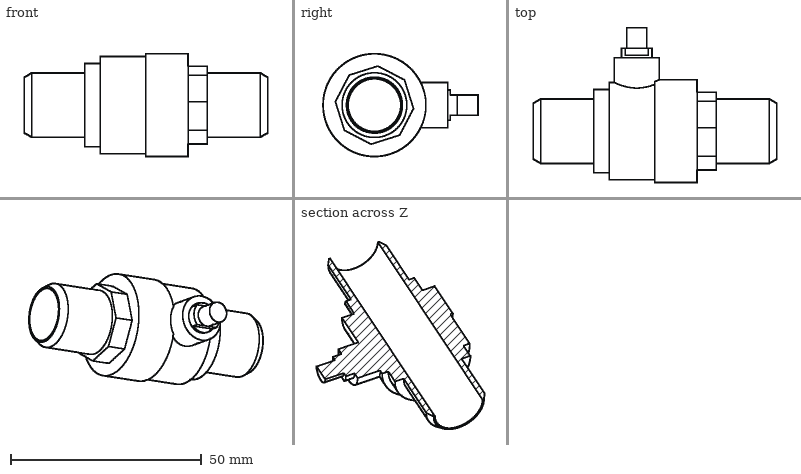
import cadquery as cq

length = 63.8
collar_start = 15.8
body_start = 19.9
cap_start = 31.75
nut_start = 42.9
nut_end = 47.95

pipe_radius = 8.5
pipe_tip_radius = 7.35
bore_radius = 6.9
collar_radius = 11.0
body_radius = 12.75
cap_diameter = 27.0
cap_radius = cap_diameter / 2
chamfer_length = 2.0

nut_sides = 8
nut_corner_diameter = 20.55
nut_turn = 5.0

stem_x = 27.1
boss_radius = 5.9
boss_top = 19.25
gland_radius = 4.0
gland_flats_start = 19.9
gland_top = 21.75
gland_flats_width = 5.35
stem_radius = gland_flats_width / 2
overall_depth = 40.6
stem_top = overall_depth - cap_radius


def make_valve_body():
    """Revolve the stepped outside of the valve and its two pipe ends."""
    profile = [
        (0, 0),
        (0, pipe_tip_radius),
        (chamfer_length, pipe_radius),
        (collar_start, pipe_radius),
        (collar_start, collar_radius),
        (body_start, collar_radius),
        (body_start, body_radius),
        (cap_start, body_radius),
        (cap_start, cap_radius),
        (nut_start, cap_radius),
        (nut_start, pipe_radius),
        (length - chamfer_length, pipe_radius),
        (length, pipe_tip_radius),
        (length, 0),
    ]
    return cq.Workplane("XY").polyline(profile).close().revolve(360, (0, 0), (1, 0))


def make_nut():
    """Octagonal nut, turned slightly about the flow axis."""
    nut = (
        cq.Workplane("YZ", origin=(nut_start, 0, 0))
        .polygon(nut_sides, nut_corner_diameter)
        .extrude(nut_end - nut_start)
    )
    return nut.rotate((0, 0, 0), (1, 0, 0), -nut_turn)


def make_stem_cylinder(radius, top):
    """Cylinder from the flow axis out to the given height along +Y."""
    return cq.Workplane("XZ", origin=(stem_x, 0, 0)).circle(radius).extrude(-top)


def make_gland():
    """Round gland with two flats cut above its base flange."""
    gland = make_stem_cylinder(gland_radius, gland_top)
    flange = make_stem_cylinder(gland_radius, gland_flats_start)
    flats = (
        cq.Workplane("XZ", origin=(stem_x, 0, 0))
        .rect(2 * gland_radius, gland_flats_width)
        .extrude(-gland_top)
    )
    return gland.intersect(flats).union(flange)


bore = cq.Workplane("YZ").circle(bore_radius).extrude(length)

result = (
    make_valve_body()
    .union(make_nut())
    .union(make_stem_cylinder(boss_radius, boss_top))
    .union(make_gland())
    .union(make_stem_cylinder(stem_radius, stem_top))
    .cut(bore)
)